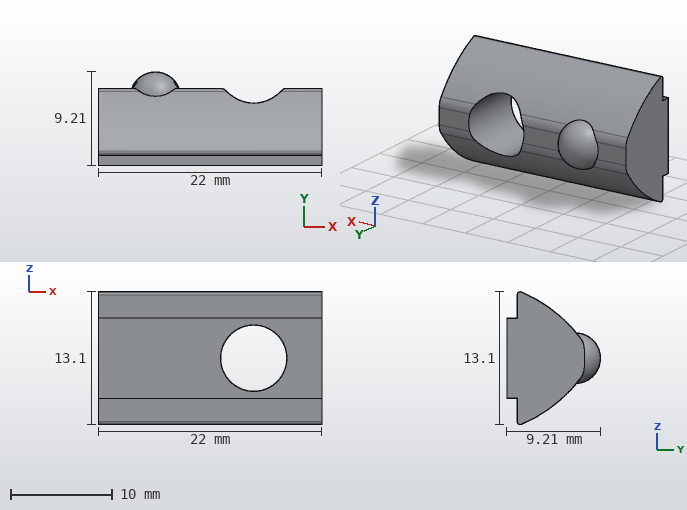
import cadquery as cq
import math

length = 22.0
neck_height = 7.9
neck_depth = 1.0
body_depth = 7.6
flank_radius = 14.0
flank_center_y = -4.0
flank_center_offset = 6.395
lip_radius = 0.3
rear_radius = 1.7

hole_diameter = 6.5
hole_x = 15.27

ball_radius = 2.5
ball_x = 5.6
ball_tip_y = 9.21


def flank_z(y):
    """Height of the upper flank above the mid-plane at depth y."""
    return math.sqrt(flank_radius**2 - (y - flank_center_y) ** 2) - flank_center_offset


def make_body():
    half_neck = neck_height / 2
    lip_z = flank_z(neck_depth)
    rear_z = flank_z(body_depth)
    mid_y = (neck_depth + body_depth) / 2
    mid_z = flank_z(mid_y)
    body = (
        cq.Workplane("YZ")
        .moveTo(0, -half_neck)
        .lineTo(neck_depth, -half_neck)
        .lineTo(neck_depth, -lip_z)
        .threePointArc((mid_y, -mid_z), (body_depth, -rear_z))
        .lineTo(body_depth, rear_z)
        .threePointArc((mid_y, mid_z), (neck_depth, lip_z))
        .lineTo(neck_depth, half_neck)
        .lineTo(0, half_neck)
        .close()
        .extrude(length)
    )
    body = body.edges("|X and >Y").fillet(rear_radius)
    return body.edges("|X and (>Z or <Z)").fillet(lip_radius)


def make_ball():
    return cq.Workplane("XY").sphere(ball_radius).translate((ball_x, ball_tip_y - ball_radius, 0))


def make_hole():
    return cq.Workplane("XZ").center(hole_x, 0).circle(hole_diameter / 2).extrude(-body_depth)


result = make_body().union(make_ball()).cut(make_hole())